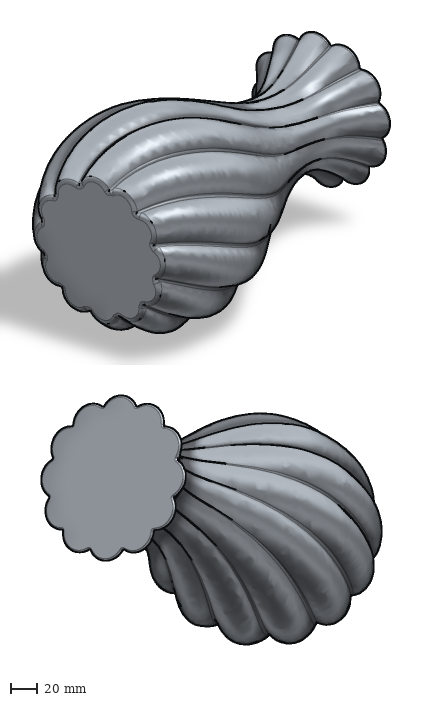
import cadquery as cq
import math

HEIGHT = 300.0
TWIST = 90.0
FIRST_VALLEY_ANGLE = 80.4

BELLY_HEIGHT = 76.0
NECK_HEIGHT = 242.5
BASE_RADIUS = 60.0
BELLY_RADIUS = 89.1
NECK_RADIUS = 35.3
RIM_RADIUS = 67.8
BASE_SLOPE = 0.92
RIM_SLOPE = 1.07

LOBES = 12
FULL_DEPTH = 0.125
NECK_DEPTH = 0.04
VALLEY_RADIUS = 0.027

BASE_FILLET = 5.0
RIM_FILLET = 1.6

SECTION_COUNT = 21

PITCH = 2 * math.pi / LOBES

STATIONS = [
    (0.0, BASE_RADIUS, BASE_SLOPE, FULL_DEPTH),
    (BELLY_HEIGHT, BELLY_RADIUS, 0.0, FULL_DEPTH),
    (NECK_HEIGHT, NECK_RADIUS, 0.0, NECK_DEPTH),
    (HEIGHT, RIM_RADIUS, RIM_SLOPE, FULL_DEPTH),
]


def cubic(t, start, end, start_rise=0.0, end_rise=0.0):
    """Cubic from start (t = 0) to end (t = 1) with the given rates of change at both ends."""
    end_weight = 3 * t**2 - 2 * t**3
    start_rise_weight = t**3 - 2 * t**2 + t
    end_rise_weight = t**3 - t**2
    return (
        start
        + (end - start) * end_weight
        + start_rise * start_rise_weight
        + end_rise * end_rise_weight
    )


def size_at(height):
    """Crest radius and relative valley depth at a height, blended between stations."""
    for lower, upper in zip(STATIONS, STATIONS[1:]):
        if height <= upper[0]:
            break
    low_height, low_radius, low_slope, low_depth = lower
    high_height, high_radius, high_slope, high_depth = upper
    length = high_height - low_height
    t = (height - low_height) / length
    radius = cubic(t, low_radius, high_radius, low_slope * length, high_slope * length)
    depth = cubic(t, low_depth, high_depth)
    return radius, depth


def section(height):
    """Closed outline of the lobes and rounded valleys at a height."""
    crest_radius, depth = size_at(height)
    turn = math.radians(FIRST_VALLEY_ANGLE - TWIST * height / HEIGHT)

    def point(fraction, angle):
        radius = crest_radius * fraction
        return cq.Vector(radius * math.cos(turn + angle), height, radius * math.sin(turn + angle))

    sharp_valley = 1 - depth
    half_chord = sharp_valley * math.sin(PITCH / 2)
    sagitta = 1 - sharp_valley * math.cos(PITCH / 2)
    lobe_radius = (half_chord**2 + sagitta**2) / (2 * sagitta)
    lobe_centre = 1 - lobe_radius
    lobe_along = lobe_centre * math.cos(PITCH / 2)
    lobe_across = lobe_centre * math.sin(PITCH / 2)

    centre_gap = lobe_radius + VALLEY_RADIUS
    valley_centre = lobe_along + math.sqrt(centre_gap**2 - lobe_across**2)
    valley_floor = valley_centre - VALLEY_RADIUS
    share = VALLEY_RADIUS / centre_gap
    touch_along = valley_centre + share * (lobe_along - valley_centre)
    touch_across = share * lobe_across
    touch_radius = math.hypot(touch_along, touch_across)
    touch_angle = math.atan2(touch_across, touch_along)

    edges = []
    for i in range(LOBES):
        valley = i * PITCH
        valley_start = point(touch_radius, valley - touch_angle)
        valley_middle = point(valley_floor, valley)
        lobe_start = point(touch_radius, valley + touch_angle)
        crest = point(1, valley + PITCH / 2)
        lobe_end = point(touch_radius, valley + PITCH - touch_angle)
        edges.append(cq.Edge.makeThreePointArc(valley_start, valley_middle, lobe_start))
        edges.append(cq.Edge.makeThreePointArc(lobe_start, crest, lobe_end))
    return cq.Wire.assembleEdges(edges)


def twisted_body():
    """Solid through evenly spaced sections from base to rim."""
    step = HEIGHT / (SECTION_COUNT - 1)
    sections = [section(i * step) for i in range(SECTION_COUNT)]
    return cq.Workplane(cq.Solid.makeLoft(sections))


def round_ends(body):
    """Round the outlines of the base and of the rim."""
    body = body.faces("<Y").edges().fillet(BASE_FILLET)
    return body.faces(">Y").edges().fillet(RIM_FILLET)


result = round_ends(twisted_body())